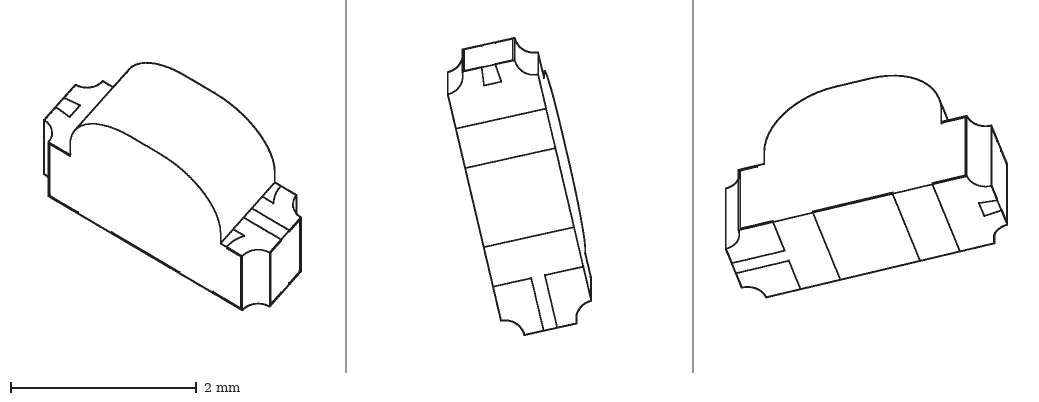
import cadquery as cq

height = 2.0
depth = 1.0
base_height = 1.002
base_length = 3
dome_width = 2.0
dome_radius = 0.8
notch_radius = 0.21
plating = 0.02
pad_length = 0.6
center_pad_length = 0.9
slot_width = 0.15
patch_depth = 0.2
patch_inner_width = 0.192
bridge_width = 0.535
ring_radius = 2 * notch_radius

end_x = base_length / 2
side_y = depth / 2
dome_side = dome_width / 2


def box(x_min, x_max, y_min, y_max, z_min, z_max):
    """Axis-aligned block between the given limits."""
    return (
        cq.Workplane("XY")
        .box(x_max - x_min, y_max - y_min, z_max - z_min, centered=False)
        .translate((x_min, y_min, z_min))
    )


def corner_cylinder(x_side, y_side, radius, z_min, z_max):
    """Vertical cylinder on one corner edge of the base."""
    return (
        cq.Workplane("XY", origin=(x_side * end_x, y_side * side_y, z_min))
        .circle(radius)
        .extrude(z_max - z_min)
    )


def cut_castellations(body):
    """Remove the four quarter-round corner notches."""
    for x_side in (-1, 1):
        for y_side in (-1, 1):
            body = body.cut(corner_cylinder(x_side, y_side, notch_radius, 0, base_height))
    return body


def make_envelope():
    """Base block and rounded dome, before room is made for the conductors."""
    base = box(-end_x, end_x, -side_y, side_y, 0, base_height)
    dome = (
        box(-dome_side, dome_side, -side_y, side_y, 0, height)
        .edges("|Y and >Z")
        .fillet(dome_radius)
    )
    return cut_castellations(base.union(dome))


def castellation_liner(x_side, y_side):
    """Plating that follows the wall of one corner notch over the full base height."""
    cylinder = corner_cylinder(x_side, y_side, notch_radius + plating, 0, base_height)
    block = box(-end_x, end_x, -side_y, side_y, 0, base_height)
    return cylinder.intersect(block)


def make_left_electrode():
    """One conductor over the whole left shoulder, with a tapered bare patch at its end."""
    top = box(-end_x, -dome_side, -side_y, side_y, base_height - plating, base_height)
    bottom = box(-end_x, pad_length - end_x, -side_y, side_y, 0, plating)
    patch = (
        cq.Workplane("XY")
        .polyline([
            (-end_x, -slot_width / 2),
            (patch_depth - end_x, -patch_inner_width / 2),
            (patch_depth - end_x, patch_inner_width / 2),
            (-end_x, slot_width / 2),
        ])
        .close()
        .extrude(base_height)
    )
    electrode = top.union(bottom).cut(patch)
    for y_side in (-1, 1):
        electrode = electrode.union(castellation_liner(-1, y_side))
    return cut_castellations(electrode)


def make_right_electrode(y_side):
    """Conductor on the +Y (1) or -Y (-1) side of the bare strip at the right end."""
    top_z = base_height - plating
    half = box(dome_side, end_x, 0, side_y, top_z, base_height)
    bridge = box(dome_side, end_x, 0, bridge_width / 2, top_z, base_height)
    ring = corner_cylinder(1, 1, ring_radius, top_z, base_height).intersect(half)
    bottom = box(end_x - pad_length, end_x, 0, side_y, 0, plating)
    strip = box(-end_x, end_x, 0, slot_width / 2, 0, base_height)
    electrode = bridge.union(ring).union(bottom).cut(strip).union(castellation_liner(1, 1))
    electrode = cut_castellations(electrode)
    return electrode if y_side > 0 else electrode.mirror("XZ")


def make_center_pad():
    """Flat pad across the middle of the underside."""
    half_length = center_pad_length / 2
    return box(-half_length, half_length, -side_y, side_y, 0, plating)


left_electrode = make_left_electrode()
right_electrodes = [make_right_electrode(y_side) for y_side in (-1, 1)]
center_pad = make_center_pad()

housing = make_envelope()
for conductor in [left_electrode, *right_electrodes, center_pad]:
    housing = housing.cut(conductor)

result = cq.Compound.makeCompound([
    housing.solids().val(),
    left_electrode.solids().val(),
    *[electrode.solids().val() for electrode in right_electrodes],
    center_pad.solids().val(),
])